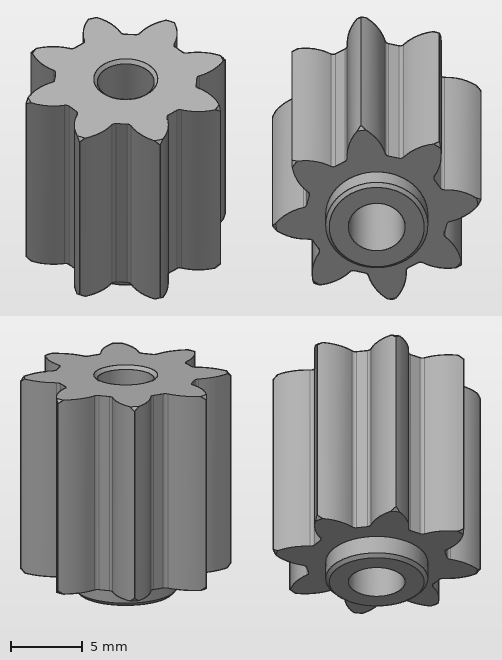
import cadquery as cq
import math

TEETH = 8
MODULE = 1.27
PRESSURE_ANGLE = 14.5
TOOTH_HALF_ANGLE = 15.9
TIP_RADIUS = 7.37
ROOT_RADIUS = 4.99
ROOT_FILLET = 0.32
MIDDLE_RADIUS = (ROOT_RADIUS + TIP_RADIUS) / 2
BASE_RADIUS = TEETH * MODULE / 2 * math.cos(math.radians(PRESSURE_ANGLE))

TOTAL_LENGTH = 15.88
BOSS_LENGTH = 1.59
GEAR_LENGTH = TOTAL_LENGTH - BOSS_LENGTH

BOSS_DIAMETER = 7.15
BORE_DIAMETER = 3.97
CHAMFER = 0.25


def polar(radius, angle):
    """Point at a radius and an angle in degrees."""
    return radius * math.cos(math.radians(angle)), radius * math.sin(math.radians(angle))


def flank_point(radius, center_angle, side):
    """Point on a tooth's involute at a radius; side is -1 or +1."""
    roll = math.sqrt((radius / BASE_RADIUS) ** 2 - 1)
    half_tooth = TOOTH_HALF_ANGLE - math.degrees(roll - math.atan(roll))
    return polar(radius, center_angle + side * half_tooth)


def gear_body():
    """Straight spur gear: arc flanks, flat roots and filleted root corners."""
    pitch = 360 / TEETH
    first_angle = pitch / 2
    profile = cq.Workplane("XY").moveTo(*flank_point(ROOT_RADIUS, first_angle, -1))
    for tooth in range(TEETH):
        angle = first_angle + tooth * pitch
        profile = (
            profile
            .threePointArc(flank_point(MIDDLE_RADIUS, angle, -1), flank_point(TIP_RADIUS, angle, -1))
            .threePointArc(polar(TIP_RADIUS, angle), flank_point(TIP_RADIUS, angle, 1))
            .threePointArc(flank_point(MIDDLE_RADIUS, angle, 1), flank_point(ROOT_RADIUS, angle, 1))
        )
        if tooth < TEETH - 1:
            profile = profile.lineTo(*flank_point(ROOT_RADIUS, angle + pitch, -1))
    body = profile.close().extrude(GEAR_LENGTH)

    root_zone = cq.selectors.BoxSelector(
        (-MIDDLE_RADIUS, -MIDDLE_RADIUS, 0),
        (MIDDLE_RADIUS, MIDDLE_RADIUS, GEAR_LENGTH),
    )
    return body.edges("|Z").edges(root_zone).fillet(ROOT_FILLET)


def tip_envelope():
    """Cylinder with chamfered ends that bevels the tooth tips."""
    return cq.Workplane("XY").circle(TIP_RADIUS).extrude(GEAR_LENGTH).edges().chamfer(CHAMFER)


def boss():
    """Round hub below the gear, chamfered at its free end."""
    hub = cq.Workplane("XY").circle(BOSS_DIAMETER / 2).extrude(-BOSS_LENGTH)
    return hub.faces("<Z").edges().chamfer(CHAMFER)


def bore():
    """Through bore with a chamfered mouth on the gear's upper face."""
    radius = BORE_DIAMETER / 2
    hole = cq.Workplane("XY").workplane(offset=-BOSS_LENGTH).circle(radius).extrude(TOTAL_LENGTH)
    mouth = cq.Solid.makeCone(
        radius,
        radius + CHAMFER,
        CHAMFER,
        pnt=cq.Vector(0, 0, GEAR_LENGTH - CHAMFER),
    )
    return hole.union(cq.Workplane(mouth))


result = gear_body().intersect(tip_envelope()).union(boss()).cut(bore())